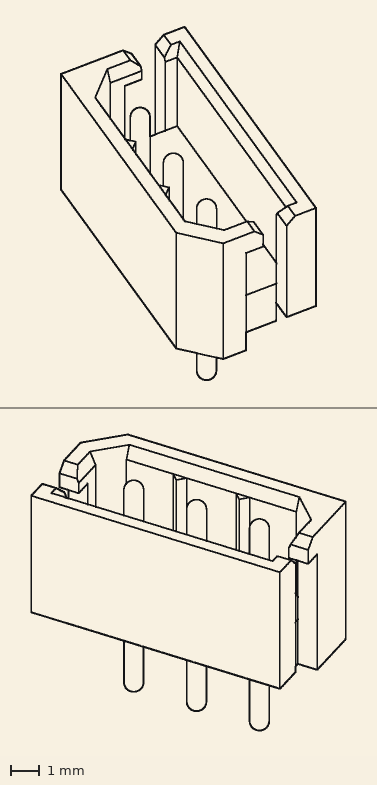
import cadquery as cq


width = 9.9
front_y = -1.85
back_y = 3.05
height = 5.9
corner_chamfer = 1.22

cavity_half_width = 4.18
cavity_front_y = -1.1
cavity_back_y = 2.35
cavity_corner = 0.8
floor_top = 1.9
lead_in_width = 0.22
lead_in_depth = 0.5

slot_front_y = 0.28
slot_back_y = 1.88
hook_tip_y = 0.95
hook_height = 0.94
slot_mouth_chamfer = 0.34

back_wall_bottom = 0.9

rib_width = 0.54
rib_depth = 0.27

pin_pitch = 2.5
pin_diameter = 0.7
pin_bottom = -3.5
pin_top = 5.4
pin_tip_radius = 0.33
pin_positions = [-pin_pitch, 0, pin_pitch]

half_width = width / 2
lead_in_bottom = height - lead_in_depth


def box(x_range, y_range, z_range):
    """Box between the given limits on each axis."""
    sizes = [high - low for low, high in (x_range, y_range, z_range)]
    corner = (x_range[0], y_range[0], z_range[0])
    return cq.Workplane("XY").box(*sizes, centered=False).translate(corner)


def cavity_outline(workplane, growth):
    """Cavity outline with clipped front corners, widened by growth on every side."""
    half = cavity_half_width + growth
    front = cavity_front_y - growth
    back = cavity_back_y + growth
    corner = cavity_corner + growth
    return workplane.polyline([
        (-half, back),
        (-half, front + corner),
        (-half + corner, front),
        (half - corner, front),
        (half, front + corner),
        (half, back),
    ]).close()


def make_housing():
    """Outer block with one clipped corner and a raised back wall."""
    block = box((-half_width, half_width), (front_y, back_y), (0, height))
    block = block.edges("|Z and >X and <Y").chamfer(corner_chamfer)
    under_back_wall = box((-half_width, half_width), (slot_back_y, back_y), (0, back_wall_bottom))
    return block.cut(under_back_wall)


def make_cavity():
    """Straight cavity plus the tapered lead-in at its mouth."""
    pocket_plane = cq.Workplane("XY", origin=(0, 0, floor_top))
    pocket = cavity_outline(pocket_plane, 0).extrude(height - floor_top)
    taper_base = cavity_outline(cq.Workplane("XY", origin=(0, 0, lead_in_bottom)), 0)
    taper = cavity_outline(taper_base.workplane(offset=lead_in_depth), lead_in_width).loft(ruled=True)
    return pocket.union(taper)


def make_side_slot(side):
    """Slot through one side wall; side is -1 or +1."""
    hook_bottom = height - hook_height
    mouth_bottom = height - slot_mouth_chamfer
    profile = [
        (slot_front_y, 0),
        (slot_back_y, 0),
        (slot_back_y, mouth_bottom),
        (slot_back_y + slot_mouth_chamfer, height),
        (hook_tip_y - slot_mouth_chamfer, height),
        (hook_tip_y, mouth_bottom),
        (hook_tip_y, hook_bottom),
        (slot_front_y, hook_bottom),
    ]
    wall = half_width - cavity_half_width
    start = cavity_half_width if side > 0 else -half_width
    return cq.Workplane("YZ", origin=(start, 0, 0)).polyline(profile).close().extrude(wall)


def make_rib(x):
    """Triangular rib from the cavity floor up to the lead-in."""
    return (
        cq.Workplane("XY", origin=(x, cavity_front_y, floor_top))
        .polyline([(-rib_width / 2, 0), (rib_width / 2, 0), (0, rib_depth)])
        .close()
        .extrude(lead_in_bottom - floor_top)
    )


def make_pin(x):
    """Round pin with rounded tips."""
    pin = cq.Workplane("XY", origin=(x, 0, pin_bottom)).circle(pin_diameter / 2).extrude(pin_top - pin_bottom)
    return pin.edges("%CIRCLE").fillet(pin_tip_radius)


result = make_housing().cut(make_cavity())
for side in (-1, 1):
    result = result.cut(make_side_slot(side))
for left_pin, right_pin in zip(pin_positions, pin_positions[1:]):
    result = result.union(make_rib((left_pin + right_pin) / 2))
for pin_x in pin_positions:
    result = result.union(make_pin(pin_x))